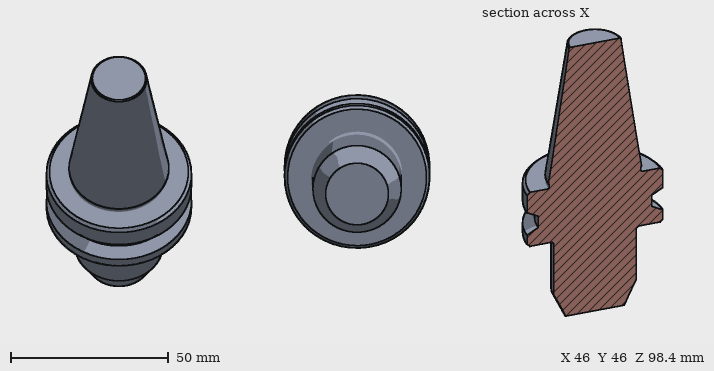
import cadquery as cq

total_height = 98.4
gauge_height = 50.0
flange_top = 48.0
flange_bottom = 28.0
nose_shoulder = 8.6

flange_radius = 46.0 / 2
gauge_radius = 15.8
groove_radius = 19.2
neck_radius = 15.5
nose_radius = 14.0
nose_tip_radius = 9.9

taper_slope = 7 / 48
taper_end_radius = gauge_radius - taper_slope * (total_height - gauge_height)

groove_floor_bottom = 34.5
groove_floor_top = 38.5
groove_flank_height = 2.1

flange_chamfer = 1.0
taper_end_chamfer = 0.4
neck_step_height = 0.6
neck_fillet = 0.5
nose_fillet = 1.0


def make_blank():
    """Solid of revolution about Z, without the fillets and the edge chamfers."""
    profile = [
        (0, 0),
        (nose_tip_radius, 0),
        (nose_radius, nose_shoulder),
        (nose_radius, flange_bottom),
        (flange_radius, flange_bottom),
        (flange_radius, groove_floor_bottom - groove_flank_height),
        (groove_radius, groove_floor_bottom),
        (groove_radius, groove_floor_top),
        (flange_radius, groove_floor_top + groove_flank_height),
        (flange_radius, flange_top),
        (neck_radius, flange_top),
        (neck_radius, gauge_height - neck_step_height),
        (gauge_radius, gauge_height),
        (taper_end_radius, total_height),
        (0, total_height),
    ]
    return cq.Workplane("XZ").polyline(profile).close().revolve(360, (0, 0, 0), (0, 1, 0))


def circle_at(radius, height):
    """Selector for the circular edge of the given radius and height."""
    margin = 0.1
    reach = radius + margin
    inner = radius - margin
    low = (-reach, -reach, height - margin)
    high = (reach, reach, height + margin)
    inner_low = (-inner, -inner, height - margin)
    inner_high = (inner, inner, height + margin)
    return cq.selectors.SubtractSelector(
        cq.selectors.BoxSelector(low, high, boundingbox=True),
        cq.selectors.BoxSelector(inner_low, inner_high, boundingbox=True),
    )


result = make_blank()

for rim_height in (flange_bottom, flange_top):
    result = result.edges(circle_at(flange_radius, rim_height)).chamfer(flange_chamfer)
result = result.edges(">Z").chamfer(taper_end_chamfer)

result = result.edges(circle_at(neck_radius, flange_top)).fillet(neck_fillet)
result = result.edges(circle_at(nose_radius, flange_bottom)).fillet(nose_fillet)